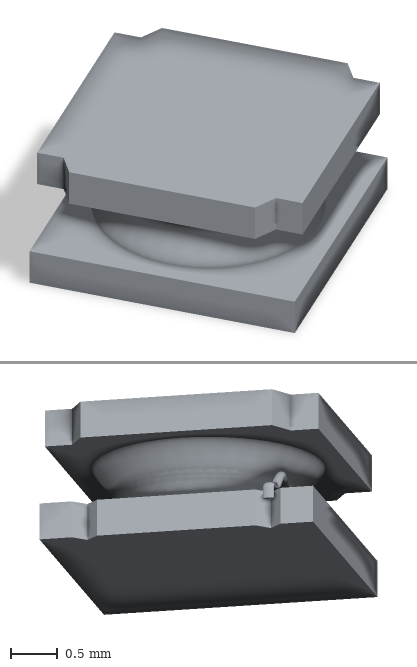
import cadquery as cq
import math

side = 3.0
height = 1.5
half_side = side / 2

flange_thickness = 0.4
post_diameter = 1.0
window_half = height / 2 - flange_thickness
corner_cut_depth = 0.25
corner_cut_inner = 0.3
corner_cut_outer = 0.45

winding_radius = half_side - corner_cut_depth
groove_edge_radius = 1.045
groove_radius = 1.023
groove_half_height = 0.06

pad_length = side - 2 * corner_cut_depth
pad_width = 0.75
pad_height = 0.09

lead_x = -1.005
lead_radius = 0.0495
lead_top_z = -0.035
lead_root_x = -0.925
lead_root_y = 0.36
lead_bend_y = 0.855
lead_middle_y = 1.015
lead_middle_z = -0.115
flat_start_y = 1.323
flat_z = -0.285
flat_width = 0.12
flat_thickness = 0.05
flat_bend_radius = 0.05
lead_end_z = -0.45

notch_depth = 0.138


def centred_box(x_size, y_size, z_size, x, y, z_bottom):
    return (
        cq.Workplane("XY", origin=(x, y, z_bottom))
        .box(x_size, y_size, z_size, centered=(True, True, False))
    )


def make_top_flange():
    flange = centred_box(side, side, flange_thickness, 0, 0, window_half)
    for x_sign in (-1, 1):
        for y_sign in (-1, 1):
            corner = [
                (half_side, half_side),
                (half_side, half_side - corner_cut_depth),
                (half_side - corner_cut_inner, half_side - corner_cut_depth),
                (half_side - corner_cut_outer, half_side),
            ]
            cut = (
                cq.Workplane("XY", origin=(0, 0, window_half))
                .polyline([(x_sign * x, y_sign * y) for x, y in corner])
                .close()
                .extrude(flange_thickness)
            )
            flange = flange.cut(cut)
    return flange


def make_bottom_flange():
    flange = centred_box(side, side, flange_thickness, 0, 0, -height / 2)
    for notch_x in (lead_x, -lead_x):
        notch = (
            cq.Workplane("XY", origin=(notch_x, half_side, -height / 2))
            .polyline([(-notch_depth, 0), (0, -notch_depth), (notch_depth, 0)])
            .close()
            .extrude(flange_thickness)
        )
        flange = flange.cut(notch)
    return flange


def make_pad(x_sign):
    pad_x = x_sign * (half_side - pad_width / 2)
    return centred_box(pad_width, pad_length, pad_height, pad_x, 0, -height / 2)


def make_core(pads):
    post = (
        cq.Workplane("XY", origin=(0, 0, -window_half))
        .circle(post_diameter / 2)
        .extrude(2 * window_half)
    )
    core = make_bottom_flange().union(post).union(make_top_flange())
    for pad in pads:
        core = core.cut(pad)
    return core


def make_lead():
    lean_x = lead_x - lead_root_x
    lean_y = lead_bend_y - lead_root_y
    root_plane = cq.Plane(
        origin=(lead_root_x, lead_root_y, lead_top_z), xDir=(0, 0, 1), normal=(lean_x, lean_y, 0)
    )
    straight = cq.Workplane(root_plane).circle(lead_radius).extrude(math.hypot(lean_x, lean_y))

    bend_start = cq.Vector(lead_x, lead_bend_y, lead_top_z)
    s_middle = cq.Vector(lead_x, lead_middle_y, lead_middle_z)
    s_end = cq.Vector(lead_x, flat_start_y, flat_z)
    lean = cq.Vector(lean_x, lean_y, 0).normalized()
    s_path = cq.Edge.makeSpline([bend_start, s_middle, s_end], tangents=[lean, cq.Vector(0, 1, 0)])
    flat_plane = cq.Plane(origin=s_end, xDir=(1, 0, 0), normal=(0, 1, 0))
    round_wire = cq.Wire.makeCircle(lead_radius, bend_start, lean)
    flat_wire = cq.Workplane(flat_plane).ellipse(flat_width / 2, flat_thickness / 2).ctx.pendingWires[0]
    s_bend = cq.Solid.sweep_multi([round_wire, flat_wire], s_path)

    end_y = half_side - flat_thickness / 2
    bend_y = end_y - flat_bend_radius
    bend_z = flat_z - flat_bend_radius
    arc_middle = (
        bend_y + flat_bend_radius * math.sin(math.pi / 4),
        bend_z + flat_bend_radius * math.cos(math.pi / 4),
    )
    end_path = (
        cq.Workplane("YZ", origin=(lead_x, 0, 0))
        .moveTo(flat_start_y, flat_z)
        .lineTo(bend_y, flat_z)
        .threePointArc(arc_middle, (end_y, bend_z))
        .lineTo(end_y, lead_end_z)
    )
    flat_end = cq.Workplane(flat_plane).ellipse(flat_width / 2, flat_thickness / 2).sweep(end_path)
    return straight.union(cq.Workplane(s_bend)).union(flat_end)


def make_winding(lead):
    profile = (
        cq.Workplane("XZ")
        .moveTo(post_diameter / 2, -window_half)
        .lineTo(winding_radius, -window_half)
        .lineTo(groove_edge_radius, -groove_half_height)
        .threePointArc((groove_radius, 0), (groove_edge_radius, groove_half_height))
        .lineTo(winding_radius, window_half)
        .lineTo(post_diameter / 2, window_half)
        .close()
    )
    winding = profile.revolve(360, (0, 0, 0), (0, 1, 0))
    return winding.cut(lead)


pads = [make_pad(x_sign) for x_sign in (-1, 1)]
core = make_core(pads)
lead = make_lead()
winding = make_winding(lead)

result = cq.Compound.makeCompound(
    [core.val(), winding.val(), lead.val(), *[pad.val() for pad in pads]]
)